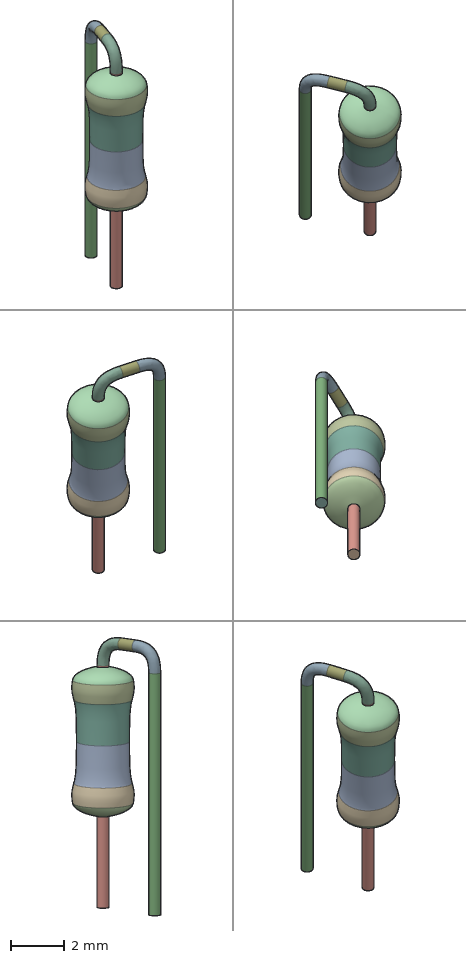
import cadquery as cq
import math

overall_height = 10.42
lead_pitch = 2.54

wire_diameter = 0.46
wire_radius = wire_diameter / 2
bend_size = 2 * wire_diameter
bend_fullness = 0.70
leg_height = overall_height - wire_radius - bend_size
bridge_height = leg_height + bend_size
folded_lead_x = -lead_pitch

body_half_length = 2.86
body_center_height = 6.355
waist_radius = 1.005
waist_pull = 0.8
neck_pull = 0.28
crown_radius = 1.185
crown_offset = 2.056
crown_arc_radius = 1.39
neck_offset = 1.60
shoulder_offset = 2.354
shoulder_pull = 0.22
tip_slope = 0.23
tip_pull = 0.55

crown_arc_center = crown_radius - crown_arc_radius


def build_wire():
    """Round wire: straight up through the body, over the bridge and down beside it."""
    bend_pull = bend_size * bend_fullness
    bridge_start = -bend_size
    bridge_end = folded_lead_x + bend_size
    first_bend = [
        (0, leg_height),
        (0, leg_height + bend_pull),
        (bridge_start + bend_pull, bridge_height),
        (bridge_start, bridge_height),
    ]
    second_bend = [
        (bridge_end, bridge_height),
        (bridge_end - bend_pull, bridge_height),
        (folded_lead_x, leg_height + bend_pull),
        (folded_lead_x, leg_height),
    ]
    path = (
        cq.Workplane("XZ")
        .lineTo(0, leg_height)
        .bezier(first_bend)
        .lineTo(bridge_end, bridge_height)
        .bezier(second_bend)
        .lineTo(folded_lead_x, 0)
    )
    return cq.Workplane("XY").circle(wire_radius).sweep(path)


def crown_arc_point(offset):
    """Profile point on the crown arc at a given distance from the mid-height plane."""
    rise = offset - crown_offset
    return crown_arc_center + math.sqrt(crown_arc_radius**2 - rise**2), offset


def crown_tangent_point(offset, distance):
    """Point reached by following the crown arc's tangent upward from a given offset."""
    radius, _ = crown_arc_point(offset)
    angle = math.asin((offset - crown_offset) / crown_arc_radius)
    return radius - distance * math.sin(angle), offset + distance * math.cos(angle)


def build_body():
    """Dog-bone body of revolution with a through hole that fits the wire."""
    neck = crown_arc_point(neck_offset)
    crown = (crown_radius, crown_offset)
    shoulder = crown_arc_point(shoulder_offset)
    waist = (waist_radius, 0)
    tip = (wire_radius, body_half_length)
    neck_control = crown_tangent_point(neck_offset, -neck_pull)
    waist_control = (waist_radius, waist_pull)
    shoulder_control = crown_tangent_point(shoulder_offset, shoulder_pull)
    tip_control = (wire_radius + tip_pull, body_half_length - tip_slope * tip_pull)
    upper_half = (
        cq.Workplane("XZ")
        .moveTo(wire_radius, 0)
        .lineTo(*waist)
        .bezier([waist, waist_control, neck_control, neck])
        .threePointArc(crown, shoulder)
        .bezier([shoulder, shoulder_control, tip_control, tip])
        .close()
        .revolve(360, (0, 0), (0, 1))
    )
    lower_half = upper_half.mirror("XY")
    whole = upper_half.union(lower_half)
    return whole.translate((0, 0, body_center_height)).solids()


wire = build_wire()
body = build_body()

result = cq.Compound.makeCompound([body.val(), wire.val()])